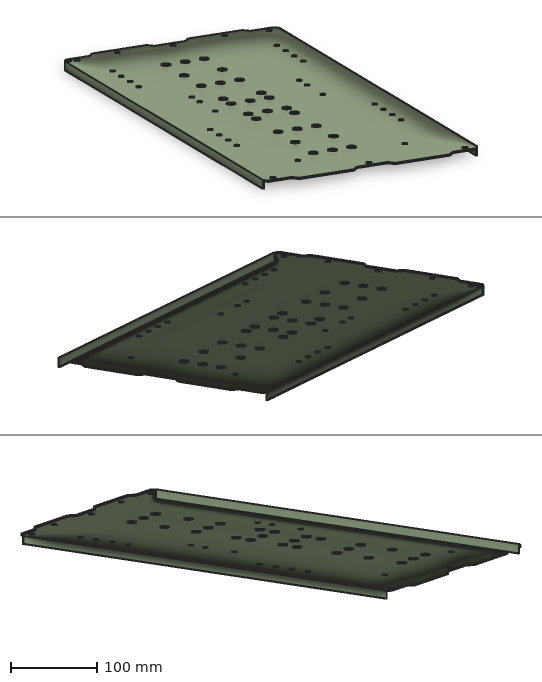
import cadquery as cq

length = 530.0
width = 280.0
height = 11.0
sheet = 2.0

tab_depth = 7.0
tab_flat = 71.0
tab_center_y = 62.5
corner_chamfer = 5.0

flange_length = 506.0

mount_diameter = 6.5
mount_x = 250.0
mount_y = 125.0

group_diameter = 6.0
group_y = 107.0
group_span = 67.5
group_starts_x = (-195.0, 55.0)
group_count = 4
group_pitch = group_span / (group_count - 1)

inner_diameter = 6.0
inner_y = 70.0
inner_xs = (-255.5, -65.0, -45.0, -5.0, 205.0)

large_diameter = 10.5
large_center_y = -16.0
large_pitch_y = 25.0
full_columns_x = (22.0, 98.0, 188.0)
open_columns_x = (42.5, 142.0)

marker_diameter = 5.0
marker_x = -252.5
marker_y = -134.0


def deck_outline():
    """Run up the +X end past its two tabs, then back down the mirrored -X end."""
    end_x = length / 2
    root_x = end_x - tab_depth
    side_y = width / 2
    right_end = [(root_x - corner_chamfer, -side_y), (root_x, -side_y + corner_chamfer)]
    for center_y in (-tab_center_y, tab_center_y):
        flat_start = center_y - tab_flat / 2
        flat_end = center_y + tab_flat / 2
        right_end += [
            (root_x, flat_start - tab_depth),
            (end_x, flat_start),
            (end_x, flat_end),
            (root_x, flat_end + tab_depth),
        ]
    right_end += [(root_x, side_y - corner_chamfer), (root_x - corner_chamfer, side_y)]
    left_end = [(-x, y) for x, y in reversed(right_end)]
    return right_end + left_end


def drill(body, diameter, centers):
    """Cut round through holes in the deck."""
    cutters = cq.Workplane("XY").pushPoints(centers).circle(diameter / 2).extrude(height)
    return body.cut(cutters)


def large_hole_centers():
    """Full columns hold three holes; open columns leave out the middle one."""
    centers = []
    for columns, rows in ((full_columns_x, (-1, 0, 1)), (open_columns_x, (-1, 1))):
        for x in columns:
            for row in rows:
                y = large_center_y + row * large_pitch_y
                centers += [(-x, y), (x, y)]
    return centers


deck_bottom = height - sheet
tray = cq.Workplane("XY").workplane(offset=deck_bottom).polyline(deck_outline()).close().extrude(sheet)

for side in (-1, 1):
    flange_y = side * (width - sheet) / 2
    flange = cq.Workplane("XY").center(0, flange_y).rect(flange_length, sheet).extrude(height)
    tray = tray.union(flange)

mount_centers = [(end * mount_x, y) for end in (-1, 1) for y in (-mount_y, 0, mount_y)]
tray = drill(tray, mount_diameter, mount_centers)

group_centers = [
    (start_x + index * group_pitch, side * group_y)
    for start_x in group_starts_x
    for index in range(group_count)
    for side in (-1, 1)
]
tray = drill(tray, group_diameter, group_centers)

inner_centers = [(x, side * inner_y) for x in inner_xs for side in (-1, 1)]
tray = drill(tray, inner_diameter, inner_centers)

tray = drill(tray, large_diameter, large_hole_centers())

tray = drill(tray, marker_diameter, [(marker_x, marker_y)])

result = tray